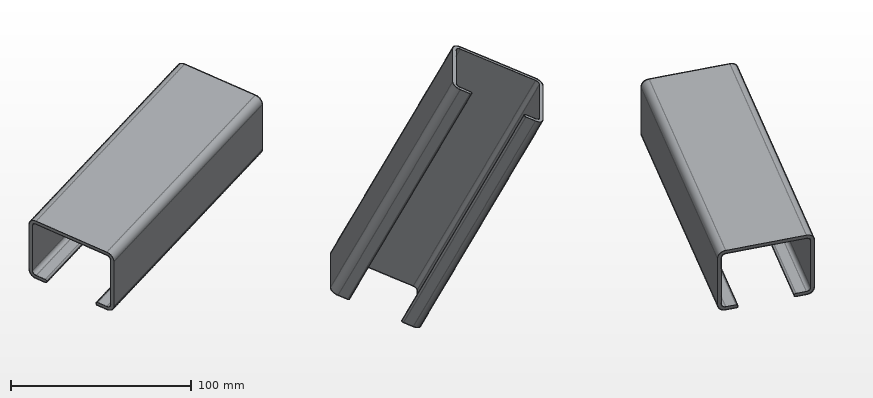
import cadquery as cq

width = 56.1
length = 152.4
height = 43.5

wall = 2.3
bend_outer_radius = 4.7
bend_inner_radius = bend_outer_radius - wall

slot_width = 32.5
lip_edge_radius = 1.0


def rounded_bar(bar_width, bar_height, radius):
    """Rectangular bar along Y with its four long edges rounded."""
    return cq.Workplane("XY").box(bar_width, length, bar_height).edges("|Y").fillet(radius)


def bottom_slot():
    """Cutter that opens the underside of the tube along its full length."""
    return cq.Workplane("XY").box(slot_width, length, wall).translate((0, 0, (wall - height) / 2))


def lip_edges():
    """Box selector around the long edges of both lip tips."""
    reach = wall / 2
    half_slot = slot_width / 2
    return cq.selectors.BoxSelector(
        (-half_slot - reach, -length, -height / 2 - reach),
        (half_slot + reach, length, -height / 2 + wall + reach),
    )


outer_bar = rounded_bar(width, height, bend_outer_radius)
inner_bar = rounded_bar(width - 2 * wall, height - 2 * wall, bend_inner_radius)
rail = outer_bar.cut(inner_bar).cut(bottom_slot())

result = rail.edges("|Y").edges(lip_edges()).fillet(lip_edge_radius)